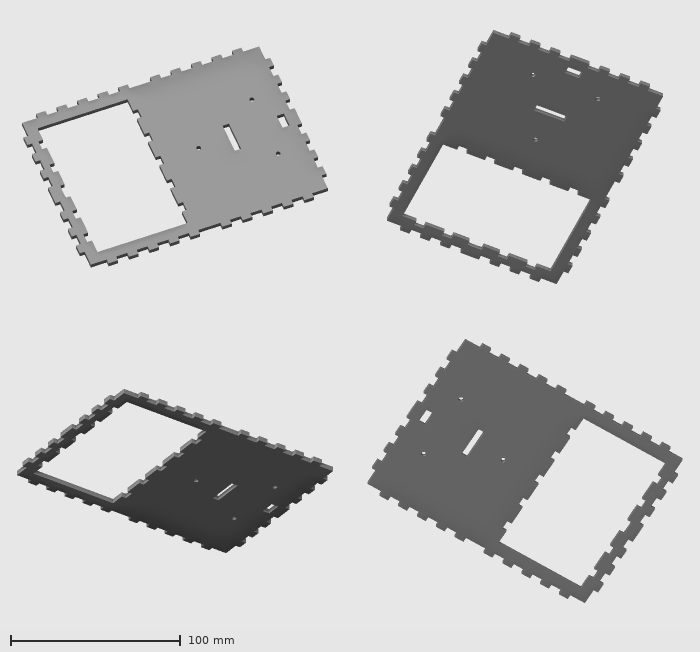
import cadquery as cq

thickness = 3.0
overall_x = 116.0
overall_y = 156.01
tab_depth = thickness
body_x = overall_x - 2 * tab_depth
body_y = overall_y - 2 * tab_depth

tab_width = 6.0
tab_gap = 7.0
tab_pitch = tab_width + tab_gap
tabs_per_half_end = 3
tabs_per_half_side = 5
center_tab_width = 2 * tab_width
first_end_tab = center_tab_width / 2 + tab_gap + tab_width / 2
first_side_tab = tab_gap + tab_width / 2

border = 7.0
window_x = body_x - 2 * border
window_y = 57.0
window_bottom = -body_y / 2 + border
window_top = window_bottom + window_y

notch_width = 6.0
notch_pitch = 18.0
notches_per_half = 2
notch_depth = thickness
relief_width = 9.2
relief_depth = 2.8

hole_diameter = 2.85
mount_y = 36.0
hole_offset = 21.0
hole_points = [
    (-hole_offset, mount_y + hole_offset),
    (hole_offset, mount_y + hole_offset),
    (0, mount_y - hole_offset),
]
long_slot_x = 19.5
long_slot_y = 4.0

small_slot_x = 9.2
small_slot_y = 4.5
small_slot_center_y = 68.5


def block(x_min, x_max, y_min, y_max):
    """Full-thickness rectangular block between the given limits."""
    size_x = x_max - x_min
    size_y = y_max - y_min
    corner_block = cq.Workplane("XY").box(size_x, size_y, thickness, centered=False)
    return corner_block.translate((x_min, y_min, 0))


def centered_block(center_x, center_y, size_x, size_y):
    """Full-thickness rectangular block around a centre point."""
    return block(
        center_x - size_x / 2,
        center_x + size_x / 2,
        center_y - size_y / 2,
        center_y + size_y / 2,
    )


def make_panel():
    """Body with tabs; each tab bar runs across the body to the opposite edge."""
    panel = centered_block(0, 0, body_x, body_y)
    panel = panel.union(centered_block(0, 0, center_tab_width, overall_y))
    for side in (-1, 1):
        for index in range(tabs_per_half_end):
            x = side * (first_end_tab + index * tab_pitch)
            panel = panel.union(centered_block(x, 0, tab_width, overall_y))
        for index in range(tabs_per_half_side):
            y = side * (first_side_tab + index * tab_pitch)
            panel = panel.union(centered_block(0, y, overall_x, tab_width))
    return panel


def make_window():
    """Window opening with its notches and the wider relief at the lower middle."""
    window = block(-window_x / 2, window_x / 2, window_bottom, window_top)
    notch_bottom = window_bottom - notch_depth
    notch_top = window_top + notch_depth
    for index in range(-notches_per_half, notches_per_half + 1):
        x = index * notch_pitch
        notch = block(x - notch_width / 2, x + notch_width / 2, notch_bottom, notch_top)
        window = window.union(notch)
    relief = block(-relief_width / 2, relief_width / 2, window_bottom - relief_depth, window_top)
    return window.union(relief)


def make_holes():
    """Screw holes through the sheet."""
    return cq.Workplane("XY").pushPoints(hole_points).circle(hole_diameter / 2).extrude(thickness)


result = (
    make_panel()
    .cut(make_window())
    .cut(make_holes())
    .cut(centered_block(0, mount_y, long_slot_x, long_slot_y))
    .cut(centered_block(0, small_slot_center_y, small_slot_x, small_slot_y))
    .clean()
)